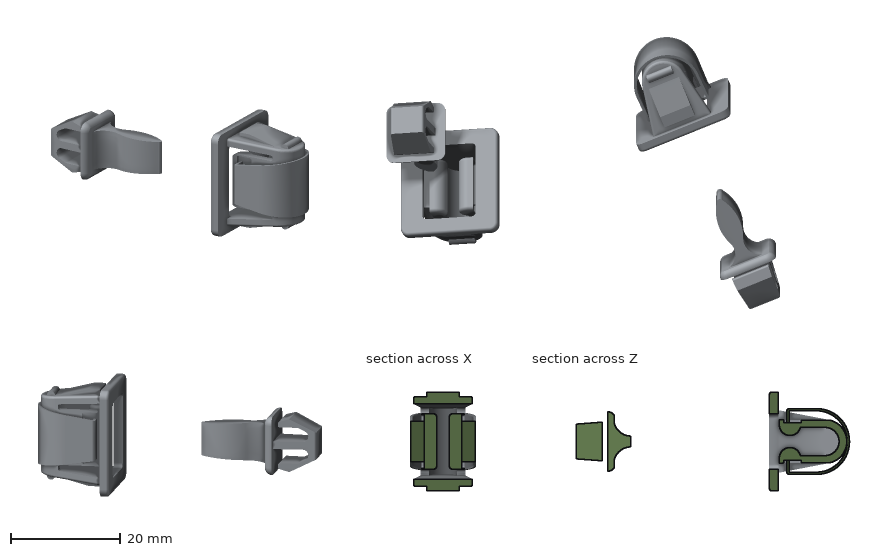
import cadquery as cq
import math


HEAD_NOSE_HALF_Z = 2.5
HEAD_APEX_X = 4.95
HEAD_APEX_Z = 4.95
BARB_TIP_X = 7.05
BARB_TIP_Z = 4.34
BARB_TIP_RADIUS = 0.35
BARB_INNER_Z = 3.37
HEAD_SLOT_X = 1.45
HEAD_SLOT_RADIUS = 1.05
STEM_HALF_Z = 0.7
HEAD_FRONT_HALF_Y = 3.06
HEAD_REAR_HALF_Y = 3.66
HEAD_CORNER_RADIUS = 0.4

FLANGE_X = 7.9
FLANGE_THICKNESS = 1.34
FLANGE_SIZE = 11.0
FLANGE_CORNER_RADIUS = 1.5
FLANGE_EDGE_RADIUS = 1.42
FLANGE_LAND = 0.05
BLADE_X = FLANGE_X + FLANGE_THICKNESS

BLADE_END_X = 21.9
BLADE_ROOT_HALF_Z = 3.7
BLADE_END_HALF_Z = 3.08
NECK_X = 12.2
NECK_HALF_Y = 1.04
NECK_RADIUS = 3.1
BELLY_X = 16.8
BELLY_HALF_Y = 2.0
BLADE_TIP_X = 21.45

PLATE_X = 37.56
PLATE_THICKNESS = 1.68
PLATE_SIZE_Y = 18.2
PLATE_SIZE_Z = 19.8
PLATE_CORNER_RADIUS = 1.5
PLATE_EDGE_RADIUS = 0.5
WINDOW_SIZE_Y = 10.0
WINDOW_SIZE_Z = 14.04
WINDOW_CORNER_RADIUS = 0.8
SHELL_X = PLATE_X + PLATE_THICKNESS

SHELL_ROOT_HALF_Y = 5.74
SHELL_ROOT_HALF_Z = 8.44
SHELL_SLOPE_Y = math.radians(10.8)
SHELL_SLOPE_Z = math.radians(5.2)
SHELL_EDGE_RADIUS = 0.45
WALL_Y = 1.5
WALL_Z = SHELL_ROOT_HALF_Z - WINDOW_SIZE_Z / 2

TONGUE_HALF_Z = 5.13
TONGUE_GAP = 0.12
TONGUE_TIP_X = SHELL_X + TONGUE_GAP
TONGUE_TIP_LENGTH = 0.94
TONGUE_TIP_FLARE = 0.1
TONGUE_SLOT_END_X = 47.95
TONGUE_SLOT_END_RADIUS = 0.45
BUMP_RADIUS = 2.0
BUMP_INNER_Y = 1.07
BUMP_EDGE_RADIUS = 0.65
BUMP_CENTER_X = TONGUE_TIP_X + BUMP_RADIUS
BUMP_CENTER_Y = BUMP_INNER_Y + BUMP_RADIUS

POCKET_X = TONGUE_TIP_X + TONGUE_TIP_LENGTH
POCKET_END_X = 43.37
POCKET_HALF_Z = 4.86
POCKET_DEPTH = 0.5
POCKET_CORNER_RADIUS = 0.35

WEDGE_X = 40.28
WEDGE_FLAT_END_X = 42.4
WEDGE_END_X = 47.8
WEDGE_HALF_Z = 9.08
WEDGE_WIDTH = 6.0
RIDGE_X = 49.55
RIDGE_RADIUS = 0.77
RIDGE_WIDTH = 4.9

CLIP_THICKNESS = 0.5
CLIP_OUTER_RADIUS = 6.07
CLIP_TIP_X = 40.74
CLIP_END_X = 52.32
CLIP_TIP_HALF_Z = 3.74
CLIP_END_HALF_Z = 5.49
CLIP_INNER_RADIUS = CLIP_OUTER_RADIUS - CLIP_THICKNESS
CLIP_CENTER_X = CLIP_END_X - CLIP_OUTER_RADIUS

NOSE_X = CLIP_END_X - CLIP_THICKNESS
NOSE_RADIUS = (
    SHELL_ROOT_HALF_Y * math.cos(SHELL_SLOPE_Y) - (NOSE_X - SHELL_X) * math.sin(SHELL_SLOPE_Y)
) / (1 - math.sin(SHELL_SLOPE_Y))
NOSE_CENTER_X = NOSE_X - NOSE_RADIUS
NOSE_TANGENT_X = NOSE_CENTER_X + NOSE_RADIUS * math.sin(SHELL_SLOPE_Y)
NOSE_TANGENT_Y = NOSE_RADIUS * math.cos(SHELL_SLOPE_Y)

TONGUE_OUTER_Y = NOSE_TANGENT_Y
POCKET_FLOOR_Y = TONGUE_OUTER_Y - POCKET_DEPTH

CUT_LENGTH = 40.0


def mirrored(solid, plane):
    """The solid together with its mirror image."""
    return solid.union(solid.mirror(plane))


def extruded_along_y(sketch, width):
    """An XZ outline extruded to a width centred on Y = 0."""
    return sketch.extrude(width / 2, both=True)


def tapered_block(plane, x_start, half_start, x_end, half_end):
    """A long block whose half height in the given plane changes evenly along X."""
    outline = cq.Workplane(plane).polyline(
        [(x_start, -half_start), (x_end, -half_end), (x_end, half_end), (x_start, half_start)]
    )
    return outline.close().extrude(CUT_LENGTH / 2, both=True)


def rounded_plate(x, thickness, size_y, size_z, corner_radius):
    """A plate across X with rounded corners."""
    plate = cq.Workplane("YZ", origin=(x, 0, 0)).rect(size_y, size_z).extrude(thickness)
    return plate.edges("|X").fillet(corner_radius)


def make_head_slot():
    """The slot between the stem and the upper barb arm, open towards the flange."""
    slope = math.atan2(HEAD_APEX_Z - HEAD_NOSE_HALF_Z, HEAD_APEX_X)
    center_x = HEAD_SLOT_X + HEAD_SLOT_RADIUS
    center_z = STEM_HALF_Z + HEAD_SLOT_RADIUS
    arc_end_x = center_x - HEAD_SLOT_RADIUS * math.sin(slope)
    arc_end_z = center_z + HEAD_SLOT_RADIUS * math.cos(slope)
    arm_inner_x = arc_end_x + (BARB_INNER_Z - arc_end_z) / math.tan(slope)
    outline = (
        cq.Workplane("XZ")
        .moveTo(FLANGE_X, STEM_HALF_Z)
        .lineTo(center_x, STEM_HALF_Z)
        .threePointArc((HEAD_SLOT_X, center_z), (arc_end_x, arc_end_z))
        .lineTo(arm_inner_x, BARB_INNER_Z)
        .lineTo(FLANGE_X, BARB_INNER_Z)
        .close()
    )
    return extruded_along_y(outline, CUT_LENGTH)


def make_barb_block():
    """The snap head and its stem before the slots, with both barbs in outline."""
    upper_half = cq.Workplane("XZ").polyline(
        [
            (0, 0),
            (0, HEAD_NOSE_HALF_Z),
            (HEAD_APEX_X, HEAD_APEX_Z),
            (BARB_TIP_X, BARB_TIP_Z),
            (BARB_TIP_X, STEM_HALF_Z),
            (FLANGE_X, STEM_HALF_Z),
            (FLANGE_X, 0),
        ]
    )
    return mirrored(extruded_along_y(upper_half.close(), FLANGE_SIZE), "XY")


def make_head():
    taper = tapered_block("XY", 0, HEAD_FRONT_HALF_Y, FLANGE_X, HEAD_REAR_HALF_Y)
    head = make_barb_block().intersect(taper)
    head = head.faces("<X").edges("|Z").fillet(HEAD_CORNER_RADIUS)
    head = head.cut(mirrored(make_head_slot(), "XY"))
    barb_tips = cq.selectors.BoxSelector(
        (BARB_TIP_X - BARB_TIP_RADIUS, -FLANGE_SIZE, -HEAD_APEX_Z),
        (BARB_TIP_X + BARB_TIP_RADIUS, FLANGE_SIZE, HEAD_APEX_Z),
    )
    return head.edges("|Y").edges(barb_tips).fillet(BARB_TIP_RADIUS)


def make_blade():
    """Blade with a concave neck that runs tangentially into a lens-shaped belly."""
    run = BELLY_X - NECK_X
    rise = BELLY_HALF_Y - NECK_HALF_Y
    radius_sum = (run**2 + rise**2) / (2 * rise)
    belly_radius = radius_sum - NECK_RADIUS

    def neck_y(x):
        return NECK_HALF_Y + NECK_RADIUS - math.sqrt(NECK_RADIUS**2 - (x - NECK_X) ** 2)

    def belly_y(x):
        return BELLY_HALF_Y - belly_radius + math.sqrt(belly_radius**2 - (x - BELLY_X) ** 2)

    touch_x = NECK_X + run * NECK_RADIUS / radius_sum
    touch_y = neck_y(touch_x)
    root_y = neck_y(BLADE_X)
    tip_y = belly_y(BLADE_TIP_X)
    outline = (
        cq.Workplane("XY")
        .moveTo(BLADE_X, -root_y)
        .threePointArc((NECK_X, -NECK_HALF_Y), (touch_x, -touch_y))
        .threePointArc((BELLY_X, -BELLY_HALF_Y), (BLADE_TIP_X, -tip_y))
        .threePointArc((BLADE_END_X, 0), (BLADE_TIP_X, tip_y))
        .threePointArc((BELLY_X, BELLY_HALF_Y), (touch_x, touch_y))
        .threePointArc((NECK_X, NECK_HALF_Y), (BLADE_X, root_y))
        .close()
    )
    blade = outline.extrude(FLANGE_SIZE / 2, both=True)
    return blade.intersect(
        tapered_block("XZ", BLADE_X, BLADE_ROOT_HALF_Z, BLADE_END_X, BLADE_END_HALF_Z)
    )


def make_plug():
    flange = rounded_plate(
        FLANGE_X, FLANGE_LAND + FLANGE_EDGE_RADIUS, FLANGE_SIZE, FLANGE_SIZE, FLANGE_CORNER_RADIUS
    )
    flange = flange.faces(">X").edges().fillet(FLANGE_EDGE_RADIUS)
    beyond_face = cq.Workplane("YZ", origin=(BLADE_X, 0, 0)).rect(FLANGE_SIZE, FLANGE_SIZE)
    flange = flange.cut(beyond_face.extrude(FLANGE_EDGE_RADIUS))
    return flange.union(make_head()).union(make_blade())


def shell_half_z(x):
    """Half height of the outside of the shell."""
    return SHELL_ROOT_HALF_Z - (x - SHELL_X) * math.tan(SHELL_SLOPE_Z)


def make_shell_form():
    """The solid outside shape of the shell, tapered towards a round nose."""
    plan = (
        cq.Workplane("XY")
        .moveTo(SHELL_X, -SHELL_ROOT_HALF_Y)
        .lineTo(NOSE_TANGENT_X, -NOSE_TANGENT_Y)
        .threePointArc((NOSE_X, 0), (NOSE_TANGENT_X, NOSE_TANGENT_Y))
        .lineTo(SHELL_X, SHELL_ROOT_HALF_Y)
        .close()
        .extrude(CUT_LENGTH / 2, both=True)
    )
    form = plan.intersect(
        tapered_block("XZ", SHELL_X, SHELL_ROOT_HALF_Z, NOSE_X, shell_half_z(NOSE_X))
    )
    long_edges = form.faces(">Z or <Z").edges("not(<X)")
    return long_edges.fillet(SHELL_EDGE_RADIUS)


def make_cavity():
    """Straight-sided space between the tongues, with a round end inside the nose."""
    half_width = NOSE_RADIUS - WALL_Y
    plan = (
        cq.Workplane("XY")
        .moveTo(SHELL_X, -half_width)
        .lineTo(NOSE_CENTER_X, -half_width)
        .threePointArc((NOSE_CENTER_X + half_width, 0), (NOSE_CENTER_X, half_width))
        .lineTo(SHELL_X, half_width)
        .close()
        .extrude(CUT_LENGTH / 2, both=True)
    )
    return plan.intersect(
        tapered_block(
            "XZ", SHELL_X, SHELL_ROOT_HALF_Z - WALL_Z, NOSE_X, shell_half_z(NOSE_X) - WALL_Z
        )
    )


def make_tongue_slots():
    """Slots through both side walls above and below the tongues, up to the cavity roof."""
    roof_root_z = SHELL_ROOT_HALF_Z - WALL_Z
    roof_end_z = shell_half_z(TONGUE_SLOT_END_X) - WALL_Z
    outline = cq.Workplane("XZ").polyline(
        [
            (SHELL_X, TONGUE_HALF_Z),
            (TONGUE_SLOT_END_X, TONGUE_HALF_Z),
            (TONGUE_SLOT_END_X, roof_end_z),
            (SHELL_X, roof_root_z),
        ]
    )
    slot = extruded_along_y(outline.close(), CUT_LENGTH)
    slot = slot.faces(">X").edges("|Y").fillet(TONGUE_SLOT_END_RADIUS)
    return mirrored(slot, "XY")


def make_bump():
    """The thick end of the +Y tongue: a round bump inside and a slightly flared tip outside."""
    end_x = BUMP_CENTER_X + BUMP_RADIUS
    plan = (
        cq.Workplane("XY")
        .moveTo(TONGUE_TIP_X, BUMP_CENTER_Y)
        .threePointArc((BUMP_CENTER_X, BUMP_INNER_Y), (end_x, BUMP_CENTER_Y))
        .lineTo(end_x, TONGUE_OUTER_Y)
        .lineTo(POCKET_X, TONGUE_OUTER_Y)
        .lineTo(TONGUE_TIP_X, TONGUE_OUTER_Y + TONGUE_TIP_FLARE)
        .close()
    )
    bump = plan.extrude(TONGUE_HALF_Z, both=True)
    end_faces = bump.faces("<Z or >Z")
    return end_faces.edges("%CIRCLE or <X").fillet(BUMP_EDGE_RADIUS)


def make_tongue_relief():
    """Space outside the +Y tongue and around its tip, within the height of the tongue."""
    plan = cq.Workplane("XY").polyline(
        [
            (SHELL_X, 0),
            (BUMP_CENTER_X, 0),
            (BUMP_CENTER_X, TONGUE_OUTER_Y),
            (NOSE_TANGENT_X, TONGUE_OUTER_Y),
            (NOSE_TANGENT_X, SHELL_ROOT_HALF_Y),
            (SHELL_X, SHELL_ROOT_HALF_Y),
        ]
    )
    return plan.close().extrude(TONGUE_HALF_Z, both=True)


def make_clip_pocket():
    """Recess in the outside of the +Y tongue for the end of the clip."""
    length = POCKET_END_X - POCKET_X
    pocket = cq.Workplane("XY").box(length, POCKET_DEPTH, 2 * POCKET_HALF_Z)
    pocket = pocket.edges("|Y").fillet(POCKET_CORNER_RADIUS)
    return pocket.translate((POCKET_X + length / 2, POCKET_FLOOR_Y + POCKET_DEPTH / 2, 0))


def make_latches():
    """Wedge and round ridge on the top wall and on the bottom wall."""
    sink = WALL_Z / 2
    wedge_outline = cq.Workplane("XZ").polyline(
        [
            (WEDGE_X, shell_half_z(WEDGE_X) - sink),
            (WEDGE_X, WEDGE_HALF_Z),
            (WEDGE_FLAT_END_X, WEDGE_HALF_Z),
            (WEDGE_END_X, shell_half_z(WEDGE_END_X)),
            (WEDGE_END_X, shell_half_z(WEDGE_END_X) - sink),
        ]
    )
    wedge = extruded_along_y(wedge_outline.close(), WEDGE_WIDTH)
    ridge_outline = cq.Workplane("XZ").center(RIDGE_X, shell_half_z(RIDGE_X)).circle(RIDGE_RADIUS)
    ridge = extruded_along_y(ridge_outline, RIDGE_WIDTH)
    return mirrored(wedge.union(ridge), "XY")


def make_housing():
    plate = rounded_plate(
        PLATE_X, PLATE_THICKNESS, PLATE_SIZE_Y, PLATE_SIZE_Z, PLATE_CORNER_RADIUS
    )
    plate = plate.faces("<X").edges().fillet(PLATE_EDGE_RADIUS)
    window = rounded_plate(
        PLATE_X, PLATE_THICKNESS, WINDOW_SIZE_Y, WINDOW_SIZE_Z, WINDOW_CORNER_RADIUS
    )
    plate = plate.cut(window)

    shell = make_shell_form().union(make_latches())
    shell = shell.cut(make_cavity()).cut(make_tongue_slots())
    shell = shell.cut(mirrored(make_tongue_relief(), "XZ"))
    shell = shell.union(mirrored(make_bump(), "XZ"))
    shell = shell.cut(mirrored(make_clip_pocket(), "XZ"))
    return plate.union(shell)


def clip_form(half_width, start_x):
    """A U-shaped block: straight sides from start_x, closed by a half circle at the far end."""
    plan = (
        cq.Workplane("XY")
        .moveTo(start_x, -half_width)
        .lineTo(CLIP_CENTER_X, -half_width)
        .threePointArc((CLIP_CENTER_X + half_width, 0), (CLIP_CENTER_X, half_width))
        .lineTo(start_x, half_width)
        .close()
    )
    return plan.extrude(CLIP_END_HALF_Z, both=True)


def make_clip():
    """Bent strip that widens towards the nose; its ends bend in to rest in the pockets."""
    outer = clip_form(CLIP_OUTER_RADIUS, CLIP_TIP_X)
    outer = outer.faces("<X").edges("|Z").fillet(CLIP_THICKNESS)
    inner = clip_form(CLIP_INNER_RADIUS, CLIP_TIP_X + CLIP_THICKNESS)
    opening = cq.Workplane("XY").box(2 * CLIP_THICKNESS, 2 * POCKET_FLOOR_Y, 2 * CLIP_END_HALF_Z)
    opening = opening.translate((CLIP_TIP_X + CLIP_THICKNESS / 2, 0, 0))
    taper = tapered_block("XZ", CLIP_TIP_X, CLIP_TIP_HALF_Z, CLIP_END_X, CLIP_END_HALF_Z)
    return outer.cut(inner).cut(opening).intersect(taper)


plug = make_plug()
housing = make_housing()
clip = make_clip()

result = cq.Compound.makeCompound(
    [*plug.solids().vals(), *housing.solids().vals(), *clip.solids().vals()]
)